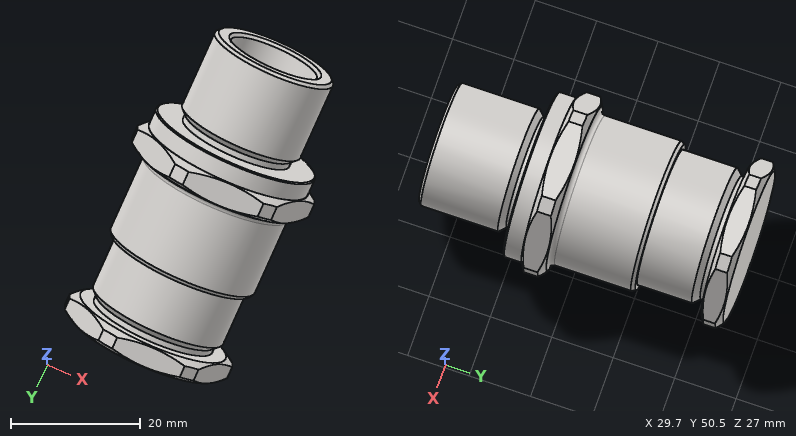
import cadquery as cq
import math

total_length = 50.5

thread_diameter = 20.0
thread_chamfer = 0.5
thread_end = 13.05
undercut_diameter = 18.0
undercut_cone = (thread_diameter - undercut_diameter) / 2

flange_diameter = 26.8
flange_chamfer = 0.2
flange_start = 15.05
body_hex_start = 18.05
body_hex_end = 22.05
body_hex_flats = 27.0
body_hex_corners = 29.7
body_hex_face_diameter = 26.7

body_diameter = 24.4
body_fillet = 0.9
body_end = 36.05
body_chamfer_length = 0.6
body_chamfer_height = 0.35
sleeve_diameter = 22.0
sleeve_end = 45.95
neck_diameter = 20.0
sleeve_cone = (sleeve_diameter - neck_diameter) / 2

nut_start = 46.9
nut_flats = 25.0
nut_corners = 27.3
nut_face_diameter = 24.55

bore_diameter = 14.5
bore_chamfer = 0.5
bore_depth = body_hex_end

hex_chamfer_angle = 30.0


def revolve_about_y(sketch):
    return sketch.close().revolve(360, (0, 0, 0), (0, 1, 0))


def hex_prism(across, start, end, rotation):
    """Hexagonal prism along Y, with its flats facing Z when rotation is zero."""
    corner_diameter = across / math.cos(math.radians(30))
    prism = (
        cq.Workplane("XZ", origin=(0, start, 0))
        .polygon(6, corner_diameter)
        .extrude(start - end)
    )
    return prism.rotate((0, 0, 0), (0, 1, 0), rotation)


def chamfered_hex(flats, corners, face_diameter, start, end):
    """Hexagon with flat-cut corners and conical chamfers on both end faces."""
    prism = hex_prism(flats, start, end, 0)
    prism = prism.intersect(hex_prism(corners, start, end, 30))
    face_radius = face_diameter / 2
    outer_radius = flats / math.sqrt(3)
    chamfer = (outer_radius - face_radius) * math.tan(math.radians(hex_chamfer_angle))
    envelope = revolve_about_y(
        cq.Workplane("XY")
        .moveTo(0, start)
        .lineTo(face_radius, start)
        .lineTo(outer_radius, start + chamfer)
        .lineTo(outer_radius, end - chamfer)
        .lineTo(face_radius, end)
        .lineTo(0, end)
    )
    return prism.intersect(envelope)


def turned_body():
    thread_radius = thread_diameter / 2
    undercut_radius = undercut_diameter / 2
    flange_radius = flange_diameter / 2
    body_radius = body_diameter / 2
    sleeve_radius = sleeve_diameter / 2
    neck_radius = neck_diameter / 2
    return revolve_about_y(
        cq.Workplane("XY")
        .moveTo(0, 0)
        .lineTo(thread_radius - thread_chamfer, 0)
        .lineTo(thread_radius, thread_chamfer)
        .lineTo(thread_radius, thread_end)
        .lineTo(undercut_radius, thread_end + undercut_cone)
        .lineTo(undercut_radius, flange_start)
        .lineTo(flange_radius - flange_chamfer, flange_start)
        .lineTo(flange_radius, flange_start + flange_chamfer)
        .lineTo(flange_radius, body_hex_start)
        .lineTo(body_radius, body_hex_start)
        .lineTo(body_radius, body_end - body_chamfer_length)
        .lineTo(body_radius - body_chamfer_height, body_end)
        .lineTo(sleeve_radius, body_end)
        .lineTo(sleeve_radius, sleeve_end - sleeve_cone)
        .lineTo(neck_radius, sleeve_end)
        .lineTo(neck_radius, total_length)
        .lineTo(0, total_length)
    )


def body_root_fillet():
    """Concave fillet between the body cylinder and the hexagon face."""
    body_radius = body_diameter / 2
    fillet_end = body_hex_end + body_fillet
    diagonal = body_fillet * (1 - math.sqrt(0.5))
    return revolve_about_y(
        cq.Workplane("XY")
        .moveTo(0, body_hex_end)
        .lineTo(body_radius + body_fillet, body_hex_end)
        .threePointArc(
            (body_radius + diagonal, body_hex_end + diagonal),
            (body_radius, fillet_end),
        )
        .lineTo(0, fillet_end)
    )


def bore():
    bore_radius = bore_diameter / 2
    return revolve_about_y(
        cq.Workplane("XY")
        .moveTo(0, 0)
        .lineTo(bore_radius + bore_chamfer, 0)
        .lineTo(bore_radius, bore_chamfer)
        .lineTo(bore_radius, bore_depth)
        .lineTo(0, bore_depth)
    )


body_hex = chamfered_hex(
    body_hex_flats, body_hex_corners, body_hex_face_diameter, body_hex_start, body_hex_end
)
nut = chamfered_hex(nut_flats, nut_corners, nut_face_diameter, nut_start, total_length)

result = turned_body().union(body_hex).union(body_root_fillet()).union(nut).cut(bore())